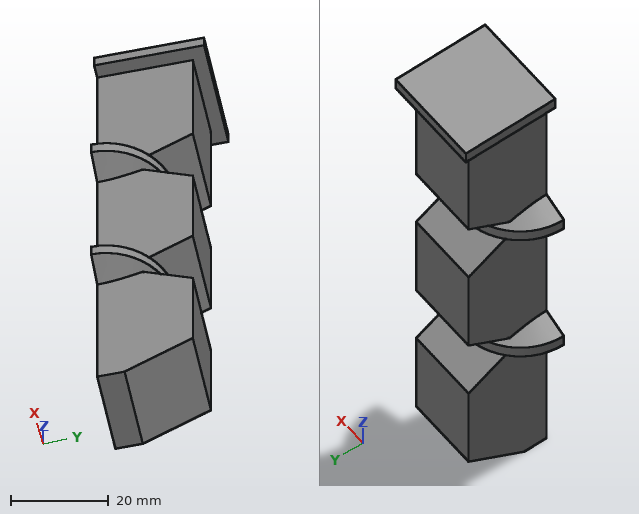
import cadquery as cq
import math

height = 120.0
bar_width = 17.8
bar_depth = 20.0

cap_overhang = 3.0
cap_thickness = 3.0
cap_width = bar_width + 2 * cap_overhang
cap_depth = bar_depth + cap_overhang

segment_count = 3
pitch = height / segment_count
web_depth = 5.8
notch_angle = 30.0
notch_half_height = (bar_depth - web_depth) * math.tan(math.radians(notch_angle))

disc_radius = 14.8
rim_thickness = 3.0
rim_half_thickness = rim_thickness / 2
root_half_thickness = 4.0
root_radius = bar_width / 2
taper = (root_half_thickness - rim_half_thickness) / (disc_radius - root_radius)
hub_half_thickness = rim_half_thickness + taper * disc_radius


def make_block(width, depth, block_height, base_z):
    """Block centred on X that reaches back from the front plane."""
    return cq.Workplane("XY").box(
        width, depth, block_height, centered=(True, False, False)
    ).translate((0, 0, base_z))


def make_notch(z):
    """V-shaped cut across the back of the bar."""
    return (
        cq.Workplane("YZ")
        .moveTo(web_depth, z)
        .lineTo(bar_depth, z + notch_half_height)
        .lineTo(bar_depth, z - notch_half_height)
        .close()
        .extrude(bar_width / 2, both=True)
    )


def make_half_disc(z):
    """Half disc that thins evenly from its axis to its rim."""
    return (
        cq.Workplane("XZ", origin=(0, 0, z))
        .moveTo(0, -hub_half_thickness)
        .lineTo(disc_radius, -rim_half_thickness)
        .lineTo(disc_radius, rim_half_thickness)
        .lineTo(0, hub_half_thickness)
        .close()
        .revolve(180, (0, 0, 0), (0, 1, 0))
    )


bar = make_block(bar_width, bar_depth, height, 0)
for level in range(segment_count):
    bar = bar.cut(make_notch(level * pitch))

result = bar.union(make_block(cap_width, cap_depth, cap_thickness, height - cap_thickness))
for level in range(1, segment_count):
    result = result.union(make_half_disc(level * pitch))